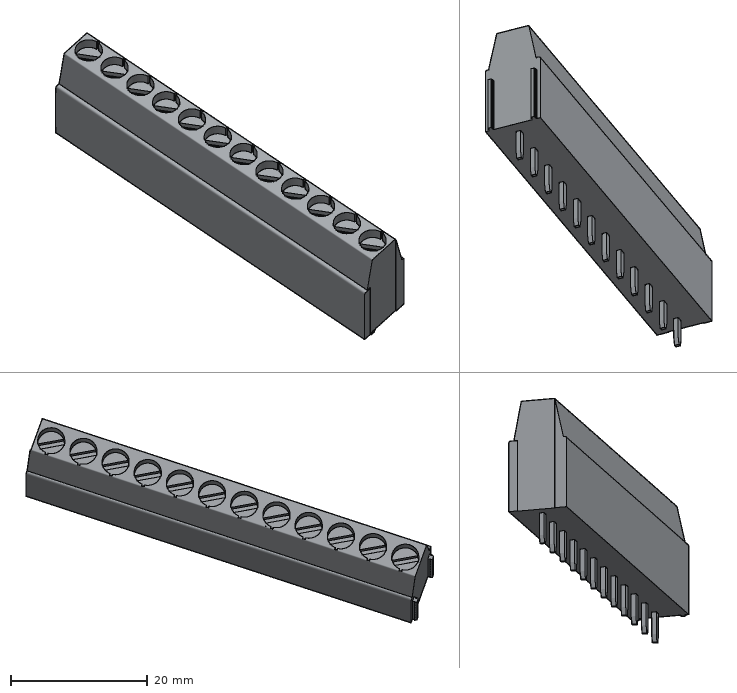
import cadquery as cq

poles = 12
pole_span = 55.05
pitch = pole_span / (poles - 1)
last_pole_margin = 2.5

total_length = 60.55
rib_depth = 0.65
body_length = total_length - rib_depth
body_width = 8.9
body_height = 16.8
shoulder_height = 10.8
front_shoulder = 0.7
back_shoulder = 0.5
front_top_inset = 1.9
back_top_inset = 1.8
shoulder_round = 0.3
top_round = 0.2

recess_depth = 0.1
recess_front_inset = 1.35

well_diameter = 4.0
well_depth = 1.75
well_y = 0.25
slot_width = 0.85
slot_depth = 0.85
slot_angle = 30
notch_width = 0.35
notch_reach = 0.25

pin_length = 4.55
pin_width = 1.0
pin_thickness = 0.7
pin_tip_length = 1.1
pin_tip_width = 0.5

rib_height = 8.55
rib_width = 0.85
rib_face_width = 0.55
rib_inset = 0.95

half_width = body_width / 2
well_radius = well_diameter / 2
back_top_y = half_width - back_top_inset
last_pole_x = body_length - last_pole_margin
pole_positions = [last_pole_x - i * pitch for i in range(poles)]
rib_positions = [rib_inset - half_width, half_width - rib_inset]


def make_housing():
    """Straight lower block with rounded shoulders and a tapered upper part."""
    profile = [
        (-half_width, 0),
        (half_width, 0),
        (half_width, shoulder_height),
        (half_width - back_shoulder, shoulder_height),
        (back_top_y, body_height),
        (-half_width + front_top_inset, body_height),
        (-half_width + front_shoulder, shoulder_height),
        (-half_width, shoulder_height),
    ]
    housing = cq.Workplane("YZ").polyline(profile).close().extrude(body_length)
    for y in (-half_width, half_width):
        shoulder_edge = cq.NearestToPointSelector((body_length / 2, y, shoulder_height))
        housing = housing.edges(shoulder_edge).fillet(shoulder_round)
    return housing.faces(">Z").edges("|X").fillet(top_round)


def make_end_recess():
    """Recess between the end flanks that also takes in the end of the front slope."""
    recess_front_y = recess_front_inset - half_width
    outline = [
        (recess_front_y, 0),
        (back_top_y, 0),
        (back_top_y, body_height),
        (-half_width, body_height),
        (-half_width, shoulder_height),
        (recess_front_y, shoulder_height),
    ]
    end_plane = cq.Workplane("YZ", origin=(body_length, 0, 0))
    return end_plane.polyline(outline).close().extrude(-recess_depth)


def make_well(x):
    """Round well with a narrow notch in its +Y wall and a driver slot in its floor."""
    floor_plane = cq.Workplane("XY", origin=(x, well_y, body_height - well_depth))
    well = floor_plane.circle(well_radius).extrude(well_depth)
    notch_length = well_radius + notch_reach
    notch_plane = floor_plane.center(0, notch_length / 2)
    notch = notch_plane.rect(notch_width, notch_length).extrude(well_depth)
    slot_bar = floor_plane.transformed(rotate=(0, 0, slot_angle))
    slot_bar = slot_bar.rect(well_diameter, slot_width).extrude(-slot_depth)
    slot = floor_plane.circle(well_radius).extrude(-slot_depth).intersect(slot_bar)
    return well.union(notch).union(slot)


def make_pin(x):
    """Flat pin with a tip that tapers in width."""
    half_pin = pin_width / 2
    half_tip = pin_tip_width / 2
    taper_start = pin_tip_length - pin_length
    outline = [
        (-half_pin, 0),
        (-half_pin, taper_start),
        (-half_tip, -pin_length),
        (half_tip, -pin_length),
        (half_pin, taper_start),
        (half_pin, 0),
    ]
    pin_plane = cq.Workplane("XZ", origin=(x, 0, 0))
    return pin_plane.polyline(outline).close().extrude(pin_thickness / 2, both=True)


def make_rib(y):
    """Upright rib with two tapered stages, the outer one stepping out like a barb."""
    half_face = rib_face_width / 2
    half_rib = rib_width / 2
    step_x = -rib_depth / 2
    outline = [
        (0, -half_rib),
        (step_x, -half_face),
        (step_x, -half_rib),
        (-rib_depth, -half_face),
        (-rib_depth, half_face),
        (step_x, half_rib),
        (step_x, half_face),
        (0, half_rib),
    ]
    return cq.Workplane("XY", origin=(0, y, 0)).polyline(outline).close().extrude(rib_height)


result = make_housing().cut(make_end_recess())
for pole_x in pole_positions:
    result = result.cut(make_well(pole_x))
    result = result.union(make_pin(pole_x))
for rib_y in rib_positions:
    result = result.union(make_rib(rib_y))